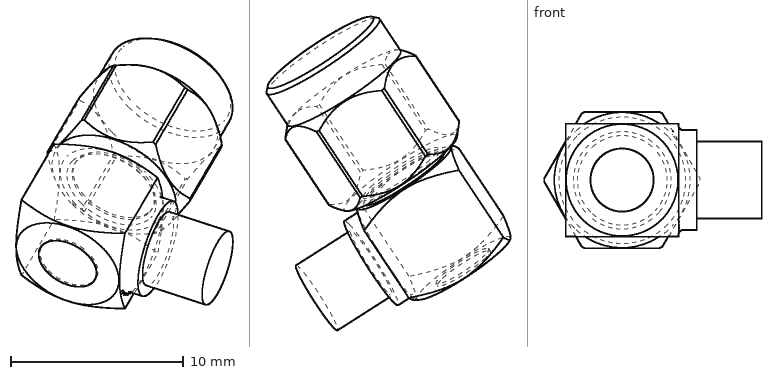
import cadquery as cq
import math


OVERALL_LENGTH = 15.24

BLOCK_WIDTH = 6.57
BLOCK_LENGTH = 6.35
BLOCK_BEVEL_ANGLE = 30.0
BLOCK_BEVEL_DIAMETER = 6.5
PLUG_DIAMETER = 3.65
PLUG_HOLE_DIAMETER = 3.69
PLUG_GROOVE_DEPTH = 0.15

NECK_LENGTH = 0.38
NECK_DIAMETER = 5.21
NECK_FLARE = 0.23

COLLAR_DIAMETER = 5.82
COLLAR_FILLET = (BLOCK_LENGTH - COLLAR_DIAMETER) / 2
COLLAR_END = 4.35
CABLE_TUBE_DIAMETER = 4.5
CABLE_TUBE_END = 8.12

HEX_SIDES = 6
HEX_ACROSS_FLATS = 7.94
HEX_ACROSS_CORNERS = 9.05
HEX_LENGTH = 6.0
HEX_BEVEL_ANGLE = 49.0
SLEEVE_DIAMETER = 7.88
SLEEVE_CHAMFER = 0.26

BLOCK_FRONT = -BLOCK_LENGTH / 2
BLOCK_BACK = BLOCK_LENGTH / 2
NUT_FRONT = BLOCK_BACK + NECK_LENGTH
HEX_BACK = NUT_FRONT + HEX_LENGTH
NUT_BACK = BLOCK_FRONT + OVERALL_LENGTH


def revolve_about_y(points):
    """Turn a closed (radius, y) outline about the Y axis."""
    return cq.Workplane("XY").polyline(points).close().revolve(360, (0, 0), (0, 1))


def bevelled_envelope(front, back, face_diameter, outer_diameter, angle):
    """Cylinder on the Y axis whose two ends are coned down to face_diameter."""
    face_radius = face_diameter / 2
    outer_radius = outer_diameter / 2
    bevel = (outer_radius - face_radius) * math.tan(math.radians(angle))
    return revolve_about_y([
        (0, front),
        (face_radius, front),
        (outer_radius, front + bevel),
        (outer_radius, back - bevel),
        (face_radius, back),
        (0, back),
    ])


def make_block():
    """Square block with the corners of both ends bevelled by a cone."""
    diagonal = BLOCK_WIDTH * math.sqrt(2)
    block = cq.Workplane("XY").box(BLOCK_WIDTH, BLOCK_LENGTH, BLOCK_WIDTH)
    return block.intersect(bevelled_envelope(
        BLOCK_FRONT, BLOCK_BACK, BLOCK_BEVEL_DIAMETER, diagonal, BLOCK_BEVEL_ANGLE))


def make_plug_groove():
    """Thin ring cut around the closing plug, which stays flush with the front face."""
    inner = PLUG_DIAMETER / 2
    outer = PLUG_HOLE_DIAMETER / 2
    floor = BLOCK_FRONT + PLUG_GROOVE_DEPTH
    return revolve_about_y([
        (inner, BLOCK_FRONT),
        (outer, BLOCK_FRONT),
        (outer, floor),
        (inner, floor),
    ])


def make_neck():
    """Flared neck that runs from inside the block up to the nut."""
    radius = NECK_DIAMETER / 2
    return revolve_about_y([
        (0, 0),
        (radius + NECK_FLARE, 0),
        (radius + NECK_FLARE, BLOCK_BACK),
        (radius, BLOCK_BACK + NECK_FLARE),
        (radius, NUT_FRONT),
        (0, NUT_FRONT),
    ])


def make_ferrule():
    """Collar filleted to the block's side, and cable tube, in line along X."""
    collar_radius = COLLAR_DIAMETER / 2
    tube_radius = CABLE_TUBE_DIAMETER / 2
    block_side = BLOCK_WIDTH / 2
    fillet_mid = COLLAR_FILLET * (1 - math.sqrt(0.5))
    outline = (
        cq.Workplane("XY")
        .lineTo(0, tube_radius)
        .lineTo(block_side, tube_radius)
        .lineTo(block_side, collar_radius + COLLAR_FILLET)
        .threePointArc(
            (block_side + fillet_mid, collar_radius + fillet_mid),
            (block_side + COLLAR_FILLET, collar_radius),
        )
        .lineTo(COLLAR_END, collar_radius)
        .lineTo(COLLAR_END, tube_radius)
        .lineTo(CABLE_TUBE_END, tube_radius)
        .lineTo(CABLE_TUBE_END, 0)
        .close()
    )
    return outline.revolve(360, (0, 0), (1, 0))


def make_elbow():
    """Elbow body: block, neck and ferrule in one piece."""
    return make_block().union(make_neck()).union(make_ferrule()).cut(make_plug_groove())


def make_nut():
    """Hexagon with bevelled ends and a round chamfered sleeve behind it."""
    hexagon = (
        cq.Workplane("XZ", origin=(0, NUT_FRONT, 0))
        .polygon(HEX_SIDES, HEX_ACROSS_FLATS / math.cos(math.pi / HEX_SIDES))
        .extrude(-HEX_LENGTH)
        .intersect(bevelled_envelope(
            NUT_FRONT, HEX_BACK, SLEEVE_DIAMETER, HEX_ACROSS_CORNERS, HEX_BEVEL_ANGLE))
    )
    sleeve = (
        cq.Workplane("XZ", origin=(0, HEX_BACK, 0))
        .circle(SLEEVE_DIAMETER / 2)
        .extrude(HEX_BACK - NUT_BACK)
        .faces(">Y")
        .chamfer(SLEEVE_CHAMFER)
    )
    return hexagon.union(sleeve)


elbow = make_elbow()
nut = make_nut()

result = cq.Compound.makeCompound([elbow.val(), nut.val()])